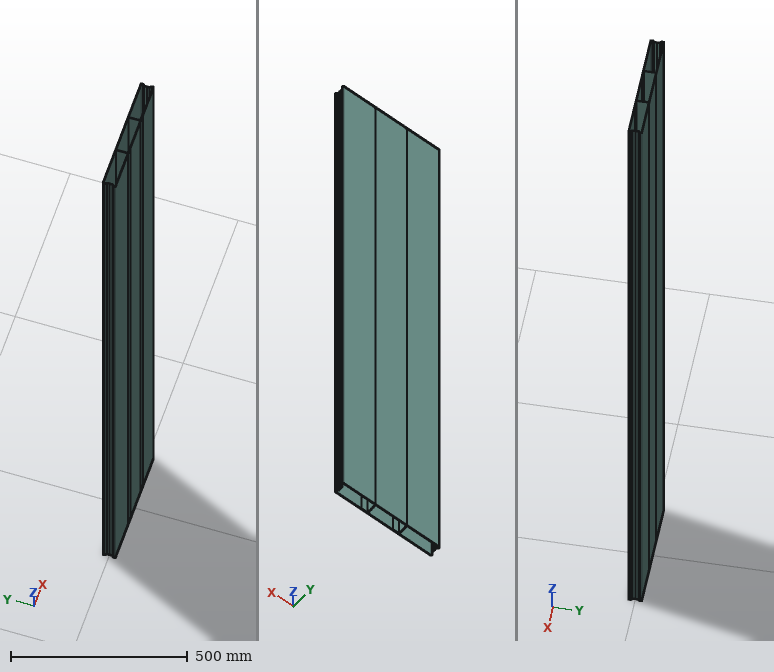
import cadquery as cq
import math

HEIGHT = 2000.0
WIDTH = 350.0
DEPTH = 38.0

SHEET = 1.0
BEND_RADIUS = 2.0
GROOVE_DEPTH = 5.0
GROOVE_HALF_MOUTH = 13.0

STIFFENER_SPACING = 115.0
FLANGE_REACH = 22.0

INNER_DEPTH = DEPTH - 2 * SHEET


def half_prism(inset, corner_radius):
    """Front half of the panel, in front of the mid-plane, with its surface moved inward by `inset`."""
    side_x = WIDTH / 2 - inset
    groove_x = side_x - GROOVE_DEPTH
    face_y = -DEPTH / 2 + inset
    corner_shift = inset * math.tan(math.radians(22.5))
    mouth_y = -GROOVE_HALF_MOUTH - corner_shift
    floor_y = mouth_y + GROOVE_DEPTH
    outline = [
        (-groove_x, 0),
        (-groove_x, floor_y),
        (-side_x, mouth_y),
        (-side_x, face_y),
        (side_x, face_y),
        (side_x, mouth_y),
        (groove_x, floor_y),
        (groove_x, 0),
    ]
    prism = cq.Workplane("XY").polyline(outline).close().extrude(HEIGHT)
    return prism.faces("<Y").edges("|Z").fillet(corner_radius)


def make_front_shell():
    """Sheet shell with a flat face, rounded edges and sides folded in to the groove."""
    outside = half_prism(0, BEND_RADIUS)
    inside = half_prism(SHEET, BEND_RADIUS - SHEET)
    return outside.cut(inside).solids()


def make_stiffener(web_x):
    """L-section upright: a web from shell to shell and a flange lying on the front shell."""
    web_left = web_x - SHEET / 2
    web_right = web_left + SHEET
    front_y = -INNER_DEPTH / 2
    outline = [
        (web_left, front_y),
        (web_right + FLANGE_REACH, front_y),
        (web_right + FLANGE_REACH, front_y + SHEET),
        (web_right, front_y + SHEET),
        (web_right, front_y + INNER_DEPTH),
        (web_left, front_y + INNER_DEPTH),
    ]
    return cq.Workplane("XY").polyline(outline).close().extrude(HEIGHT)


front_shell = make_front_shell()
back_shell = front_shell.mirror("XZ").solids()

stiffeners = [make_stiffener(web_x) for web_x in (-STIFFENER_SPACING / 2, STIFFENER_SPACING / 2)]

result = cq.Compound.makeCompound(
    [front_shell.val(), back_shell.val(), *[stiffener.val() for stiffener in stiffeners]]
)